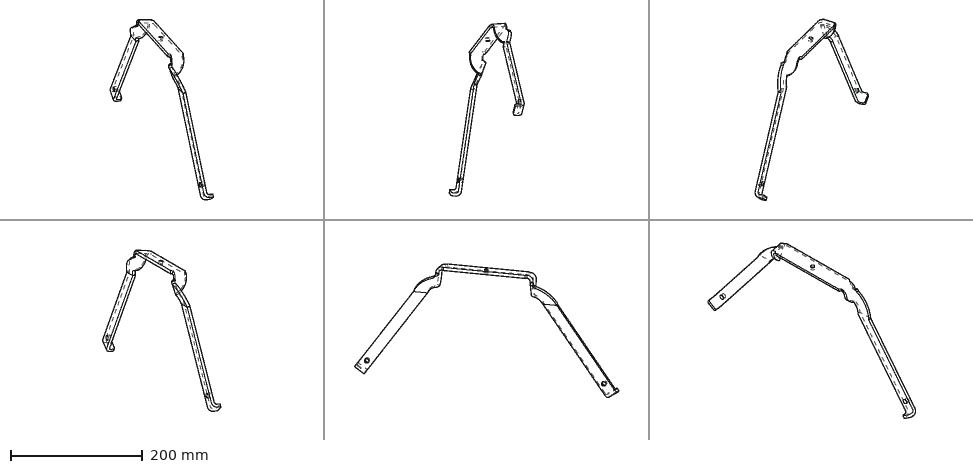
import cadquery as cq
import math


thickness = 5.0

bridge_tilt = 8.5
bridge_half_length = 66.5
bridge_width = 25.0
strap_width = 20.0
bridge_hole_diameter = 5.8
bridge_bend_radius = 10.0
bridge_corner = (bridge_width - strap_width) / 2
leg_outer_x = -(bridge_half_length + bridge_bend_radius)
leg_inner_x = leg_outer_x + thickness
leg_rear_mid = (5.5, -21.0)

wing_lean = 18.5
wing_base_z = -44.5
fold_radius = 7.5
fold_rise = 3.0
wing_fold_bottom = 12.0
wing_fold_width = 18.5
wing_fold_top = wing_fold_bottom + wing_fold_width
wing_end_x = leg_inner_x - fold_radius
wing_upper_mid = (-95.8, 21.5)
wing_lower_mid = (-85.5, 7.5)

arm_front_y = -6.5
arm_slope = 55
arm_width = 18.0
arm_top_outer_x = -112.3
arm_end_x = -206.5
arm_hole_diameter = 7.0
arm_hole_from_end = 23.0
hook_depth = 15.0
hook_radius = 8.3
hook_corner_radius = 3.0
arm_length = (arm_top_outer_x - arm_end_x) / math.cos(math.radians(arm_slope))
arm_top_inner_x = arm_top_outer_x + arm_width / math.sin(math.radians(arm_slope))

tilt_sin = math.sin(math.radians(bridge_tilt))
tilt_cos = math.cos(math.radians(bridge_tilt))
lean_sin = math.sin(math.radians(wing_lean))
lean_cos = math.cos(math.radians(wing_lean))
slope_sin = math.sin(math.radians(arm_slope))
slope_cos = math.cos(math.radians(arm_slope))

wing_plane = cq.Plane((0, arm_front_y, wing_base_z), (1, 0, 0), (0, -lean_cos, -lean_sin))

arm_corner = (arm_top_outer_x, arm_front_y, wing_base_z)
down_arm = (-slope_cos, 0, -slope_sin)


def bridge_point(across, height):
    """(Y, Z) of a point given across and normal to the tilted bridge."""
    return (across * tilt_cos + height * tilt_sin, height * tilt_cos - across * tilt_sin)


def wing_point(up, depth):
    """(Y, Z) of a point given up the wing and behind its front face."""
    return (
        arm_front_y - up * lean_sin + depth * lean_cos,
        wing_base_z + up * lean_cos + depth * lean_sin,
    )


def make_bridge():
    plate = (
        cq.Workplane("XY")
        .rect(2 * bridge_half_length, bridge_width)
        .extrude(-thickness)
        .edges("|Z")
        .chamfer(bridge_corner)
    )
    hole = cq.Workplane("XY").circle(bridge_hole_diameter / 2).extrude(-thickness)
    return plate.cut(hole).rotate((0, 0, 0), (1, 0, 0), -bridge_tilt)


def quarter_bend(plane, center, outer_radius, x_side, y_side, length):
    """Quarter ring of sheet, filling one quadrant about its centre."""
    inner_radius = outer_radius - thickness
    diagonal = math.sqrt(0.5)

    def at(x_radius, y_radius):
        return (center[0] + x_side * x_radius, center[1] + y_side * y_radius)

    return (
        cq.Workplane(plane)
        .moveTo(*at(inner_radius, 0))
        .lineTo(*at(outer_radius, 0))
        .threePointArc(at(outer_radius * diagonal, outer_radius * diagonal), at(0, outer_radius))
        .lineTo(*at(0, inner_radius))
        .threePointArc(at(inner_radius * diagonal, inner_radius * diagonal), at(inner_radius, 0))
        .close()
        .extrude(length)
    )


def make_bridge_bend():
    plane = cq.Plane((0, strap_width / 2, 0), (1, 0, 0), (0, -1, 0))
    bend = quarter_bend(
        plane, (-bridge_half_length, -bridge_bend_radius), bridge_bend_radius, -1, 1, strap_width
    )
    return bend.rotate((0, 0, 0), (1, 0, 0), -bridge_tilt)


def make_leg():
    front_top = bridge_point(-strap_width / 2, -bridge_bend_radius)
    rear_top = bridge_point(strap_width / 2, -bridge_bend_radius)
    fold_top = wing_point(wing_fold_top + fold_rise, fold_radius)
    fold_bottom = wing_point(wing_fold_bottom, fold_radius)
    return (
        cq.Workplane("YZ", origin=(leg_outer_x, 0, 0))
        .moveTo(*front_top)
        .lineTo(*rear_top)
        .threePointArc(leg_rear_mid, fold_bottom)
        .lineTo(*fold_top)
        .close()
        .extrude(thickness)
    )


def make_fold():
    base_y, base_z = wing_point(wing_fold_bottom, 0)
    plane = cq.Plane((0, base_y, base_z), (1, 0, 0), (0, -lean_sin, lean_cos))
    center = (wing_end_x, fold_radius)
    bend = quarter_bend(plane, center, fold_radius, 1, -1, wing_fold_width + fold_rise)
    outline = (
        cq.Workplane(wing_plane)
        .moveTo(wing_end_x, wing_fold_bottom)
        .lineTo(leg_inner_x, wing_fold_bottom)
        .lineTo(leg_inner_x, wing_fold_top + fold_rise)
        .lineTo(leg_outer_x, wing_fold_top + fold_rise)
        .lineTo(wing_end_x, wing_fold_top)
        .close()
        .extrude(-fold_radius)
    )
    return bend.intersect(outline)


def make_wing():
    return (
        cq.Workplane(wing_plane)
        .moveTo(arm_top_outer_x, 0)
        .threePointArc(wing_upper_mid, (wing_end_x, wing_fold_top))
        .lineTo(wing_end_x, wing_fold_bottom)
        .threePointArc(wing_lower_mid, (arm_top_inner_x, 0))
        .close()
        .extrude(-thickness)
    )


def make_wing_bend():
    """Sector of sheet that fills the outside of the bend between wing and arm."""
    length = arm_top_inner_x - arm_top_outer_x
    half_lean = math.radians(wing_lean / 2)
    return (
        cq.Workplane("YZ", origin=(arm_top_outer_x, 0, 0))
        .moveTo(arm_front_y, wing_base_z)
        .lineTo(arm_front_y + thickness, wing_base_z)
        .threePointArc(
            (
                arm_front_y + thickness * math.cos(half_lean),
                wing_base_z + thickness * math.sin(half_lean),
            ),
            wing_point(0, thickness),
        )
        .close()
        .extrude(length)
    )


def make_arm():
    face = cq.Plane(arm_corner, down_arm, (0, -1, 0))
    straight_end = arm_length - hook_radius
    plate = (
        cq.Workplane(face)
        .lineTo(straight_end, 0)
        .lineTo(straight_end, arm_width)
        .lineTo(-arm_width * slope_cos / slope_sin, arm_width)
        .close()
        .extrude(-thickness)
    )
    hole = (
        cq.Workplane(face)
        .center(arm_length - arm_hole_from_end, arm_width / 2)
        .circle(arm_hole_diameter / 2)
        .extrude(-thickness)
    )
    return plate.cut(hole)


def make_hook():
    """Bend at the lower end of the arm and the lip that points towards +Y."""
    edge = cq.Plane(arm_corner, down_arm, (slope_sin, 0, -slope_cos))
    bend = quarter_bend(edge, (arm_length - hook_radius, hook_radius), hook_radius, 1, -1, arm_width)
    lip = (
        cq.Workplane(edge)
        .moveTo(arm_length - thickness, hook_radius)
        .lineTo(arm_length, hook_radius)
        .lineTo(arm_length, hook_depth)
        .lineTo(arm_length - thickness, hook_depth)
        .close()
        .extrude(arm_width)
        .faces(">Y")
        .edges(cq.selectors.ParallelDirSelector(cq.Vector(*down_arm)))
        .fillet(hook_corner_radius)
    )
    return bend.union(lip)


half_parts = [
    make_bridge_bend(),
    make_leg(),
    make_fold(),
    make_wing(),
    make_wing_bend(),
    make_arm(),
    make_hook(),
]

result = make_bridge()
for part in half_parts:
    result = result.union(part).union(part.mirror("YZ"))